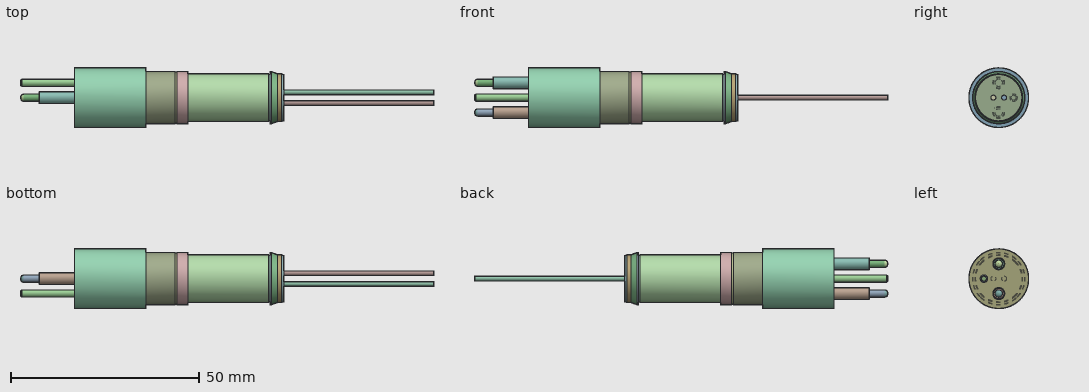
import cadquery as cq

total_length = 109.9
x_tip = -total_length / 2

head_start = 14.3
head_end = 33.3
groove_start = 41.1
groove_width = 0.4
collar_end = 44.5
neck_width = 0.4
flange_start = 66.4
flange_rim_width = 0.3
flange_cone_length = 1.5
barrel_end = 70.0

head_diameter = 15.9
collar_diameter = 14.0
groove_diameter = 13.7
barrel_diameter = 12.7
flange_diameter = 14.0

neck_diameter = 12.4
bevel_length = 0.7
bevel_depth = 0.2

pin_offset = 4.0
pin_diameter = 3.2
pin_tip_diameter = 2.0
pin_tip_length = 4.8
pin_shoulder_chamfer = 0.2
pin_tip_round = 0.9
plain_pin_diameter = 2.0
plain_pin_chamfer = 0.3

wire_diameter = 1.3
wire_offset = 1.4


def cylinder(start, end, diameter, y=0.0, z=0.0):
    """Round bar along X between two stations."""
    plane = cq.Workplane("YZ", origin=(x_tip + start, y, z))
    return plane.circle(diameter / 2).extrude(end - start)


def ring_cut(start, width, outer_diameter, inner_diameter):
    """Ring-shaped cutter for a groove in the body."""
    end = start + width
    outer = cylinder(start, end, outer_diameter)
    return outer.cut(cylinder(start, end, inner_diameter))


def revolve_about_axis(profile):
    """Turn a closed (x, radius) outline around the X axis."""
    return cq.Workplane("XY").polyline(profile).close().revolve(360, (0, 0, 0), (1, 0, 0))


def make_barrel():
    """Long barrel with a shallow bevel at its cable end."""
    radius = barrel_diameter / 2
    profile = [
        (x_tip + collar_end, 0),
        (x_tip + collar_end, radius),
        (x_tip + barrel_end - bevel_length, radius),
        (x_tip + barrel_end, radius - bevel_depth),
        (x_tip + barrel_end, 0),
    ]
    return revolve_about_axis(profile)


def make_flange():
    """Thin rim that tapers down to the barrel towards the cable end."""
    rim_end = flange_start + flange_rim_width
    cone_end = rim_end + flange_cone_length
    profile = [
        (x_tip + flange_start, 0),
        (x_tip + flange_start, flange_diameter / 2),
        (x_tip + rim_end, flange_diameter / 2),
        (x_tip + cone_end, barrel_diameter / 2),
        (x_tip + cone_end, 0),
    ]
    return revolve_about_axis(profile)


def make_contact_pin(z):
    """Thick pin with a rounded, thinner tip."""
    shank = cylinder(pin_tip_length, head_end, pin_diameter, z=z)
    shank = shank.faces("<X").chamfer(pin_shoulder_chamfer)
    tip = cylinder(0, head_end, pin_tip_diameter, z=z).faces("<X").edges().fillet(pin_tip_round)
    return shank.union(tip)


body = cylinder(head_start, head_end, head_diameter)
body = body.union(cylinder(head_end, collar_end, collar_diameter))
body = body.union(make_barrel())
body = body.union(make_flange())
body = body.cut(ring_cut(groove_start, groove_width, head_diameter, groove_diameter))
body = body.cut(ring_cut(flange_start - neck_width, neck_width, head_diameter, neck_diameter))

for side in (-1, 1):
    body = body.union(make_contact_pin(side * pin_offset))
plain_pin = cylinder(0, head_end, plain_pin_diameter, y=pin_offset)
body = body.union(plain_pin.faces("<X").chamfer(plain_pin_chamfer))

for side in (-1, 1):
    body = body.union(cylinder(collar_end, total_length, wire_diameter, y=side * wire_offset))

result = body